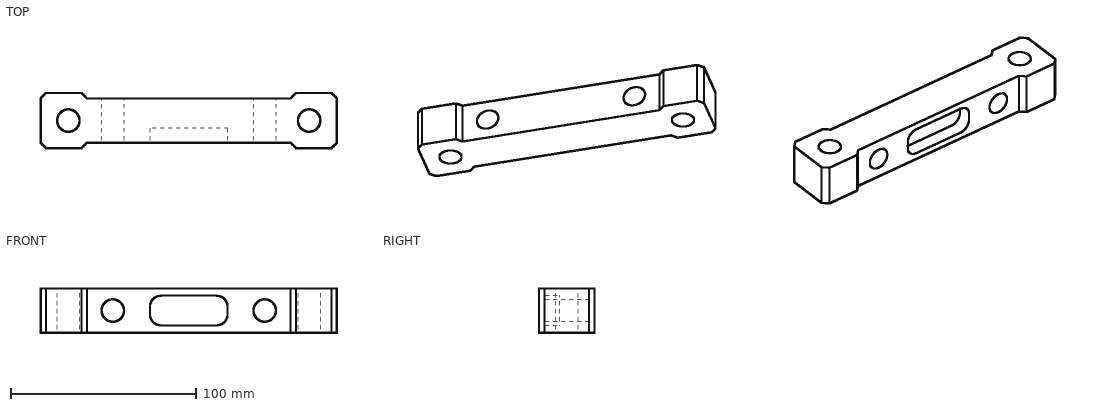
import cadquery as cq

length = 160.0
height = 24.0
head_width = 30.0
waist_width = 24.0

head_length = 25.0
bevel = (head_width - waist_width) / 2

hole_diameter = 12.0
end_hole_spacing = 130.0
cross_hole_spacing = 82.0

pocket_length = 42.0
pocket_height = 16.0
pocket_corner_radius = 6.0
pocket_depth = 8.0


def make_waist():
    """Straight bar running the full length."""
    return cq.Workplane("XY").box(length, waist_width, height)


def make_head(side):
    """Wider block with four bevelled corners; side is -1 or +1 along X."""
    center_x = side * (length - head_length) / 2
    return (
        cq.Workplane("XY")
        .box(head_length, head_width, height)
        .edges("|Z")
        .chamfer(bevel)
        .translate((center_x, 0, 0))
    )


def make_end_holes():
    """Vertical cylinders through the heads."""
    return (
        cq.Workplane("XY")
        .pushPoints([(side * end_hole_spacing / 2, 0) for side in (-1, 1)])
        .circle(hole_diameter / 2)
        .extrude(height, both=True)
    )


def make_cross_holes():
    """Horizontal cylinders through the waist along Y."""
    return (
        cq.Workplane("XZ")
        .pushPoints([(side * cross_hole_spacing / 2, 0) for side in (-1, 1)])
        .circle(hole_diameter / 2)
        .extrude(waist_width, both=True)
    )


def make_pocket():
    """Blind rounded recess opening on the -Y face of the waist."""
    center_y = -(waist_width - pocket_depth) / 2
    return (
        cq.Workplane("XY")
        .box(pocket_length, pocket_depth, pocket_height)
        .edges("|Y")
        .fillet(pocket_corner_radius)
        .translate((0, center_y, 0))
    )


body = make_waist().union(make_head(-1)).union(make_head(1))
result = body.cut(make_end_holes()).cut(make_cross_holes()).cut(make_pocket())